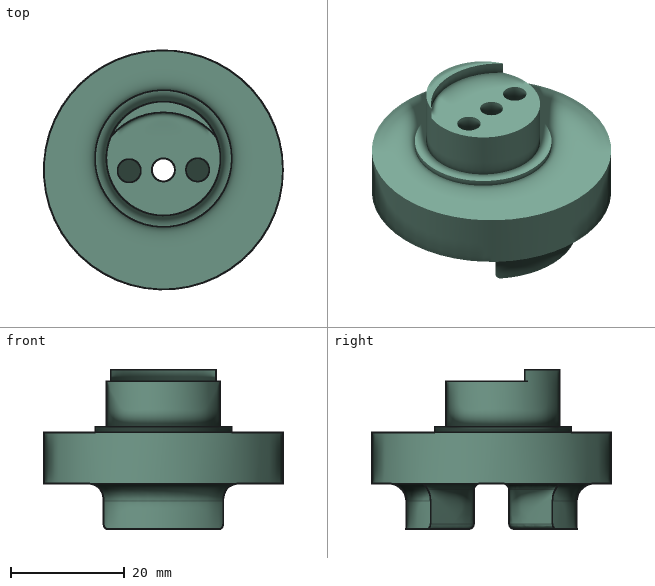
import cadquery as cq
import math

flange_diameter = 42.0
flange_thickness = 9.0

boss_offset_y = 2.0
collar_diameter = 24.0
collar_height = 1.0
boss_diameter = 20.0
boss_height = 8.0

lip_height = 2.0
lip_inner_radius = 12.1
lip_inner_center_y = -2.0

through_hole_diameter = 4.0
pin_hole_diameter = 4.1
pin_hole_spacing = 12.0
left_pin_offset_y = -0.15
pin_hole_depth = boss_height

lug_radius = 15.0
lug_height = 8.0
lug_nose_y = 3.05
lug_nose_radius = 3.4
wall_curve_spans = 12
lug_root_radius = 3.0
lug_wall_fillet = 1.0

collar_bottom = flange_thickness
boss_bottom = collar_bottom + collar_height
boss_top = boss_bottom + boss_height


def disk(diameter, height, bottom, center_y=0.0):
    """Upright cylinder centred on X = 0."""
    return cq.Workplane("XY", origin=(0, center_y, bottom)).circle(diameter / 2).extrude(height)


def make_lip():
    """Crescent left between the boss circle and a larger inner circle."""
    outer = disk(boss_diameter, lip_height, boss_top, boss_offset_y)
    inner = disk(2 * lip_inner_radius, lip_height, boss_top, lip_inner_center_y)
    return outer.cut(inner)


def lug_wall_point(t):
    """Point of the lug's inner wall, a hyperbola opening towards +Y; t = 0 is the nose."""
    x = lug_nose_radius * math.sinh(t)
    y = lug_nose_y + lug_nose_radius * (math.cosh(t) - 1)
    return (x, y)


def lug_wedge():
    """Block behind the hyperbolic wall, with filleted wall edges, reaching past the flange rim."""
    reach = flange_diameter
    end = math.asinh(reach / lug_nose_radius)
    step = 2 * end / wall_curve_spans
    wall_points = [lug_wall_point(-end + i * step) for i in range(wall_curve_spans + 1)]
    wedge = (
        cq.Workplane("XY", origin=(0, 0, -lug_height))
        .moveTo(*wall_points[0])
        .spline(wall_points[1:], includeCurrent=True)
        .close()
        .extrude(lug_height)
    )
    slab_side = 2 * (reach + flange_diameter)
    slab = cq.Workplane("XY").box(slab_side, slab_side, flange_thickness, centered=(True, True, False))
    wall_edges = cq.selectors.BoxSelector(
        (-reach, 0, -lug_height - lug_wall_fillet),
        (reach, wall_points[0][1] - lug_wall_fillet, lug_wall_fillet),
    )
    return wedge.union(slab).edges(wall_edges).edges("not |Z").fillet(lug_wall_fillet)


def lug_round_body():
    """Turned body that flares into the flange through the root radius."""
    flare_radius = lug_radius + lug_root_radius
    return (
        cq.Workplane("XZ")
        .moveTo(0, -lug_height)
        .lineTo(lug_radius, -lug_height)
        .lineTo(lug_radius, -lug_root_radius)
        .radiusArc((flare_radius, 0), lug_root_radius)
        .lineTo(0, 0)
        .close()
        .revolve(360, (0, 0, 0), (0, 1, 0))
    )


def make_lugs():
    """Two opposite lugs, the second turned half a turn about Z."""
    lug = lug_round_body().intersect(lug_wedge())
    return lug.union(lug.rotate((0, 0, 0), (0, 0, 1), 180))


def cut_holes(body):
    """Central through hole and the two blind pin holes beside it."""
    through_hole = disk(through_hole_diameter, boss_top, 0)
    pin_holes = (
        cq.Workplane("XY", origin=(0, 0, boss_top))
        .pushPoints([(-pin_hole_spacing / 2, left_pin_offset_y), (pin_hole_spacing / 2, 0)])
        .circle(pin_hole_diameter / 2)
        .extrude(-pin_hole_depth)
    )
    return body.cut(through_hole).cut(pin_holes)


flange = disk(flange_diameter, flange_thickness, 0)
collar = disk(collar_diameter, collar_height, collar_bottom, boss_offset_y)
boss = disk(boss_diameter, boss_height, boss_bottom, boss_offset_y)

body = flange.union(collar).union(boss).union(make_lip()).union(make_lugs())
result = cut_holes(body)